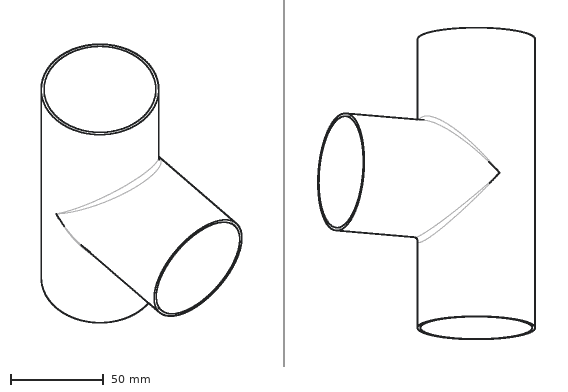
import cadquery as cq
import math

run_length = 158.8
outer_diameter = 63.5
wall = 1.6
branch_reach = 79.4
blend_radius = 2.5

outer_radius = outer_diameter / 2
inner_radius = outer_radius - wall
blend_reach = outer_radius + blend_radius

run_base = cq.Plane(origin=(0, 0, 0), xDir=(-1, 0, 0), normal=(0, 0, 1))
branch_base = cq.Plane(origin=(0, 0, 0), xDir=(0, 0, 1), normal=(1, 0, 0))
mitre = cq.Plane(origin=(0, 0, 0), xDir=(-1, 0, -1), normal=(1, 0, -1))


def tee(radius):
    """Solid equal tee whose axes cross at the origin."""
    run = cq.Workplane(run_base).circle(radius).extrude(run_length / 2, both=True)
    branch = cq.Workplane(branch_base).circle(radius).extrude(branch_reach)
    return run.union(branch)


def crotch_wedge():
    """Wedge of the upper crotch between the planes through Y that hold the contact lines."""
    near_side = 2 * outer_radius
    far_side = 2 * blend_reach
    corners = [(0, 0), (near_side, far_side), (far_side, near_side)]
    return cq.Workplane("XZ").polyline(corners).close().extrude(2 * outer_radius, both=True)


def crotch_filler(wedge):
    """Wedge of material hollowed by a ball rolling along both pipes.

    The ball's centre follows an ellipse in the 45 degree mitre plane, so the concave
    blend tapers to nothing where the pipes meet at their sides.
    """
    diagonal_reach = blend_reach * math.sqrt(2)
    centre_path = cq.Workplane(mitre).ellipse(diagonal_reach, blend_reach)
    path_start = cq.Plane(origin=(-blend_reach, 0, -blend_reach), xDir=(-1, 0, -1), normal=(0, 1, 0))
    ball_track = cq.Workplane(path_start).circle(blend_radius).sweep(centre_path)
    within_path = (
        cq.Workplane(mitre).ellipse(diagonal_reach, blend_reach).extrude(2 * blend_reach, both=True)
    )
    return wedge.intersect(within_path).cut(ball_track)


wedge = crotch_wedge()
filler = crotch_filler(wedge)
body = tee(outer_radius).cut(wedge).cut(wedge.mirror("XY"))
outer = body.union(filler, tol=0.001).union(filler.mirror("XY"), tol=0.001)
result = outer.cut(tee(inner_radius))